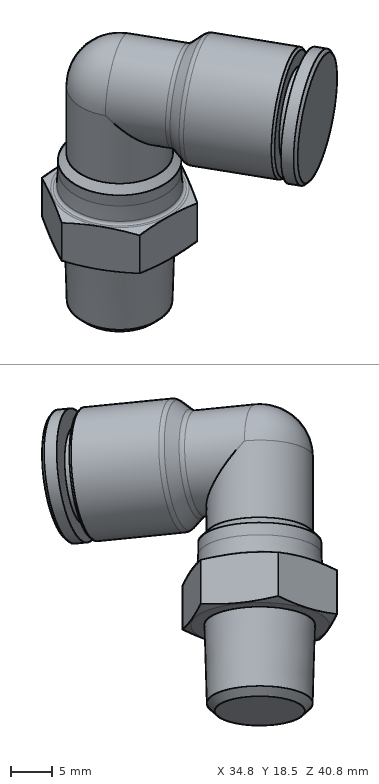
import cadquery as cq
import math

overall_height = 40.8
socket_radius = 8.2
tube_radius = 6.5
leg_axis_z = overall_height - socket_radius

stub_length = 11.05
stub_tip_radius = 6.45
stub_root_radius = 6.75
stub_chamfer = 0.98

hex_across_flats = 17.0
hex_corner_radius = hex_across_flats / math.sqrt(3)
hex_height = 6.45
hex_top_z = stub_length + hex_height
hex_face_radius = 8.4
hex_corner_drop = 0.4

collar_radius = 7.5
collar_base_radius = 7.65
collar_flare = 0.4
collar_taper_top_z = 20.07
collar_chamfer_z = 21.62
collar_chamfer = collar_radius - tube_radius

cone_start_x = 7.95
cone_end_x = 10.0
cone_blend_radius = 0.98
socket_end_x = 21.8
socket_chamfer = 0.33

neck_radius = 5.88
flange_start_x = 22.95
flange_end_x = 24.95
flange_width = 18.5
flange_height = 16.15
flange_chamfer = 0.4


def make_stub():
    """Tapered stub, chamfered at its lower end."""
    return (
        cq.Workplane("XZ")
        .moveTo(0, 0)
        .lineTo(stub_tip_radius - stub_chamfer, 0)
        .lineTo(stub_tip_radius, stub_chamfer)
        .lineTo(stub_root_radius, stub_length)
        .lineTo(0, stub_length)
        .close()
        .revolve(360, (0, 0, 0), (0, 1, 0))
    )


def make_hex():
    """Hexagonal prism whose corners are cut by a cone above and below."""
    prism = (
        cq.Workplane("XY", origin=(0, 0, stub_length))
        .polygon(6, 2 * hex_corner_radius)
        .extrude(hex_height)
    )
    corner_cutter = (
        cq.Workplane("XZ")
        .moveTo(0, stub_length)
        .lineTo(hex_face_radius, stub_length)
        .lineTo(hex_corner_radius, stub_length + hex_corner_drop)
        .lineTo(hex_corner_radius, hex_top_z - hex_corner_drop)
        .lineTo(hex_face_radius, hex_top_z)
        .lineTo(0, hex_top_z)
        .close()
        .revolve(360, (0, 0, 0), (0, 1, 0))
    )
    return prism.intersect(corner_cutter)


def make_collar():
    """Collar with a concave flare at its foot and a chamfered shoulder."""
    flare_mid_offset = collar_flare * (1 - math.cos(math.radians(45)))
    flare_mid_radius = collar_base_radius + flare_mid_offset
    flare_mid_z = hex_top_z + flare_mid_offset
    return (
        cq.Workplane("XZ")
        .moveTo(0, hex_top_z)
        .lineTo(collar_base_radius + collar_flare, hex_top_z)
        .threePointArc(
            (flare_mid_radius, flare_mid_z),
            (collar_base_radius, hex_top_z + collar_flare),
        )
        .lineTo(collar_radius, collar_taper_top_z)
        .lineTo(collar_radius, collar_chamfer_z)
        .lineTo(tube_radius, collar_chamfer_z + collar_chamfer)
        .lineTo(0, collar_chamfer_z + collar_chamfer)
        .close()
        .revolve(360, (0, 0, 0), (0, 1, 0))
    )


def make_elbow():
    """Vertical tube and the ball that rounds the outside of the bend."""
    tube_start_z = collar_chamfer_z + collar_chamfer
    tube = (
        cq.Workplane("XY", origin=(0, 0, tube_start_z))
        .circle(tube_radius)
        .extrude(leg_axis_z - tube_start_z)
    )
    ball = cq.Workplane("XY", origin=(0, 0, leg_axis_z)).sphere(tube_radius)
    return tube.union(ball)


def make_horizontal_leg():
    """Tube that widens through a blended cone into the socket."""
    leg = (
        cq.Workplane("XZ", origin=(0, 0, leg_axis_z))
        .moveTo(0, 0)
        .lineTo(0, tube_radius)
        .lineTo(cone_start_x, tube_radius)
        .lineTo(cone_end_x, socket_radius)
        .lineTo(socket_end_x, socket_radius)
        .lineTo(socket_end_x, 0)
        .close()
        .revolve(360, (0, 0, 0), (1, 0, 0))
    )
    leg = leg.edges("%CIRCLE and (not <X) and (not >X)").fillet(cone_blend_radius)
    return leg.faces(">X").edges().chamfer(socket_chamfer)


def make_release_ring():
    """Round neck that carries an oval flange, wider along Y than along Z."""
    neck = (
        cq.Workplane("YZ", origin=(socket_end_x, 0, leg_axis_z))
        .circle(neck_radius)
        .extrude(flange_start_x - socket_end_x)
    )
    flange = (
        cq.Workplane("YZ", origin=(flange_start_x, 0, leg_axis_z))
        .ellipse(flange_width / 2, flange_height / 2)
        .extrude(flange_end_x - flange_start_x)
        .faces(">X")
        .edges()
        .chamfer(flange_chamfer)
    )
    return neck.union(flange)


result = (
    make_stub()
    .union(make_hex())
    .union(make_collar())
    .union(make_elbow())
    .union(make_horizontal_leg())
    .union(make_release_ring())
)